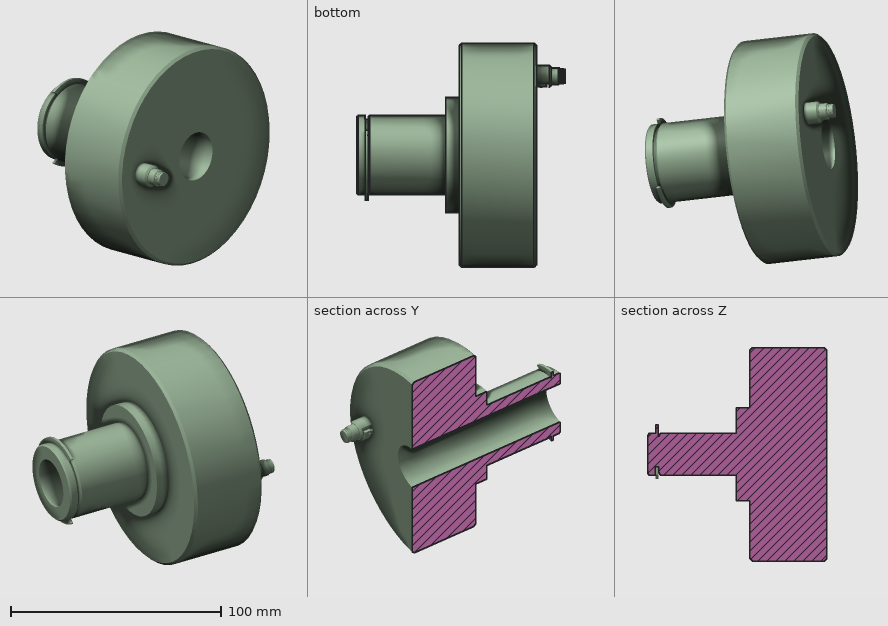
import cadquery as cq
import math

bore_dia = 23.5
shaft_dia = 37.9
tip_chamfer = 0.7
groove_chamfer = 0.9
flange_dia = 54.8
flange_start = 42.2
drum_dia = 106.7
drum_start = 48.6
drum_end = 85.5
drum_chamfer = 1.3

groove_start = 4.0
groove_dia = 34.2
ring_width = 1.4
groove_end = groove_start + ring_width
ring_dia = 42.9
ring_end_y = -9.5
ring_end_z = 16.0
ring_end_slope = 34.0
ring_tip_radius = 0.4

connector_y = -37.4
connector_dia = 10.5
connector_shoulder = 91.4
connector_chamfer_end = 92.4
connector_shoulder_dia = 8.6
sleeve_dia = 8.0
sleeve_end = 95.8
collar_dia = 6.9
collar_end = 96.2
neck_dia = 6.6
neck_end = 96.8
end_dia = 6.5
ridge_dia = 6.9
ridge_positions = (97.1, 97.9)
ridge_width = 0.16
overall_length = 99.0

flat_offset = 3.5
key_top_offset = 4.9
key_start = 86.7
key_end = 90.1
key_width = 3.4
key_neck_width = 2.3
pin_dia = 0.7
pin_x = 87.6
pin_top_offset = 5.2

rib_width = 1.0


def cylinder(start, end, diameter, y=0.0):
    """Solid cylinder along X between two stations."""
    return cq.Workplane("YZ", origin=(start, y, 0)).circle(diameter / 2).extrude(end - start)


def shaft():
    """Shaft with a ring groove, chamfered at its tip and behind the groove."""
    tip = cylinder(0, groove_start, shaft_dia).faces("<X").chamfer(tip_chamfer)
    core = cylinder(groove_start, groove_end, groove_dia)
    main = cylinder(groove_end, flange_start, shaft_dia).faces("<X").chamfer(groove_chamfer)
    return tip.union(core).union(main)


def retaining_ring():
    """Open ring filling the groove, with a gap on the -Y side between two slanted ends."""
    reach_y = -ring_dia
    reach_z = ring_end_z + (ring_end_y - reach_y) * math.tan(math.radians(ring_end_slope))
    gap = (
        cq.Workplane("YZ", origin=(groove_start, 0, 0))
        .moveTo(0, -ring_end_z)
        .lineTo(0, ring_end_z)
        .lineTo(ring_end_y, ring_end_z)
        .lineTo(reach_y, reach_z)
        .lineTo(reach_y, -reach_z)
        .lineTo(ring_end_y, -ring_end_z)
        .close()
        .extrude(ring_width)
    )
    tip_edges = cq.selectors.BoxSelector(
        (groove_start, -ring_dia, -ring_dia), (groove_end, ring_end_y - ring_tip_radius, ring_dia)
    )
    ring = cylinder(groove_start, groove_end, ring_dia).cut(gap)
    ring = ring.edges("|X").edges(tip_edges).fillet(ring_tip_radius)
    return ring.cut(cylinder(groove_start, groove_end, groove_dia))


def drum():
    """Large drum chamfered on both rims, with the flange in front of it."""
    body = cylinder(drum_start, drum_end, drum_dia).faces("<X or >X").chamfer(drum_chamfer)
    return body.union(cylinder(flange_start, drum_start, flange_dia))


def connector():
    """Stepped connector with two thin ridges near its free end."""
    half_ridge = ridge_width / 2
    profile = [
        (drum_end, 0),
        (drum_end, connector_dia / 2),
        (connector_shoulder, connector_dia / 2),
        (connector_chamfer_end, connector_shoulder_dia / 2),
        (connector_chamfer_end, sleeve_dia / 2),
        (sleeve_end, sleeve_dia / 2),
        (collar_end, collar_dia / 2),
        (collar_end, neck_dia / 2),
        (neck_end, neck_dia / 2),
        (neck_end, end_dia / 2),
    ]
    for ridge in ridge_positions:
        profile.append((ridge - half_ridge, end_dia / 2))
        profile.append((ridge - half_ridge, ridge_dia / 2))
        profile.append((ridge + half_ridge, ridge_dia / 2))
        profile.append((ridge + half_ridge, end_dia / 2))
    profile.append((overall_length, end_dia / 2))
    profile.append((overall_length, 0))
    turned = cq.Workplane("XY").polyline(profile).close().revolve(360, (0, 0, 0), (1, 0, 0))
    return turned.translate((0, connector_y, 0))


def above_flat(start, end, top_offset, width):
    """Box standing on the connector flat, centred on Z."""
    return cq.Workplane("XY").box(
        end - start, top_offset - flat_offset, width, centered=(False, False, True)
    ).translate((start, connector_y + flat_offset, 0))


def connector_key():
    """Raised key on the flat, its narrower neck and the small pin on top."""
    key = above_flat(key_start, key_end, key_top_offset, key_width)
    neck = above_flat(drum_end, key_start, key_top_offset, key_neck_width)
    pin = (
        cq.Workplane("XZ", origin=(pin_x, connector_y + flat_offset, 0))
        .circle(pin_dia / 2)
        .extrude(flat_offset - pin_top_offset)
    )
    return key.union(neck).union(pin)


def coding_rib():
    """Rib carrying the sleeve radius forward over the collar."""
    sleeve = cylinder(sleeve_end, collar_end, sleeve_dia, connector_y)
    slice_box = cq.Workplane("XY", origin=(sleeve_end, connector_y - sleeve_dia / 2, 0)).box(
        collar_end - sleeve_end, sleeve_dia / 2, rib_width, centered=(False, False, True)
    )
    return sleeve.intersect(slice_box)


flat_cut = above_flat(drum_end, connector_shoulder, connector_dia, connector_dia)
plug = connector().cut(flat_cut).union(connector_key()).union(coding_rib())

result = (
    shaft()
    .union(retaining_ring())
    .union(drum())
    .cut(cylinder(0, drum_end, bore_dia))
    .union(plug)
)